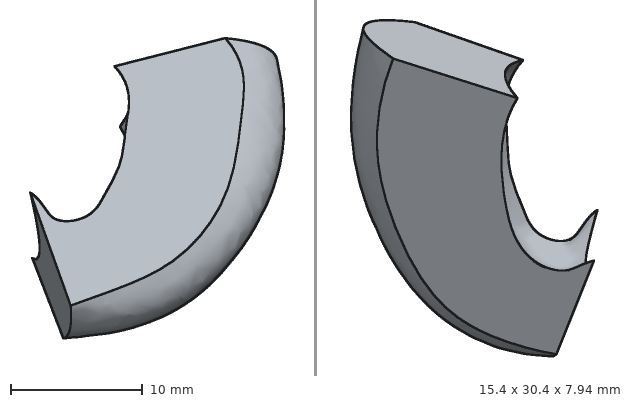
import cadquery as cq
import math


AXIS_HALF_HEIGHT = 3.28
TAPER = 0.052
END_ANGLE = 45.0

END_LEANS = {END_ANGLE: 0.035, -END_ANGLE: 0.06}

OUTER_ANGLES = [END_ANGLE, 34, 22, 0, -22, -36, -END_ANGLE]
INNER_ANGLES = [END_ANGLE, 24, 11, -5, -19, -30, -40, -42, -END_ANGLE]

LOWER_FACE = {
    "side": -1,
    "outer_radii": [19.75, 19.8, 19.9, 20.05, 20.55, 19.95, 19.42],
    "inner_radii": [9.72, 10.33, 10.8, 11.7, 12.85, 13.22, 12.45, 12.0, 11.1],
}
MIDDLE = {
    "side": 0,
    "outer_radii": [22.18, 21.9, 21.85, 21.95, 22.15, 21.58, 20.67],
    "inner_radii": [10.8, 11.5, 11.95, 12.75, 13.68, 13.98, 13.52, 13.22, 12.45],
}
UPPER_FACE = {
    "side": 1,
    "outer_radii": [18.1, 18.8, 18.75, 19.8, 20.55, 20.25, 20.35],
    "inner_radii": [9.35, 10.12, 10.33, 11.35, 12.37, 13.2, 12.28, 10.8, 9.35],
}


def wall_point(side, angle, radius):
    """Point at a polar position, in the tilted plane of a level."""
    direction = math.radians(angle)
    x = radius * math.cos(direction)
    y = radius * math.sin(direction)
    if angle in END_LEANS:
        lean = END_LEANS[angle]
        depth = AXIS_HALF_HEIGHT - side * (AXIS_HALF_HEIGHT + TAPER * y)
        shift = lean * depth / (1 - lean * side * TAPER * math.cos(direction))
        x += shift * math.sin(direction)
        y -= shift * math.cos(direction)
    z = side * (AXIS_HALF_HEIGHT + TAPER * y)
    return cq.Vector(x, y, z)


def wall_curve(side, angles, radii):
    """Smooth curve along one wall of a level."""
    points = [wall_point(side, angle, radius) for angle, radius in zip(angles, radii)]
    return cq.Edge.makeSpline(points)


def outline(level):
    """Closed outline: outer wall, -Y end, inner wall and +Y end."""
    outer = wall_curve(level["side"], OUTER_ANGLES, level["outer_radii"])
    inner = wall_curve(level["side"], INNER_ANGLES, level["inner_radii"])
    back_end = cq.Edge.makeLine(inner.startPoint(), outer.startPoint())
    front_end = cq.Edge.makeLine(outer.endPoint(), inner.endPoint())
    return cq.Wire.assembleEdges([outer, front_end, inner, back_end])


levels = [LOWER_FACE, MIDDLE, UPPER_FACE]
pad = cq.Solid.makeLoft([outline(level) for level in levels])
result = cq.Workplane("XY").newObject([pad])